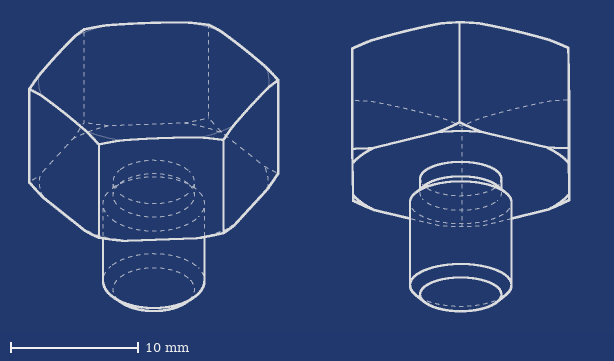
import cadquery as cq
import math

ACROSS_FLATS = 17.0
HEAD_HEIGHT = 10.0
HEAD_SIDES = 6
ACROSS_CORNERS = ACROSS_FLATS / math.cos(math.pi / HEAD_SIDES)

CROWN_RADIUS = 64.0
CROWN_RIM_RADIUS = 9.07
TOP_CHAMFER_ANGLE = 22.0
UNDERSIDE_FLAT_RADIUS = 9.0
UNDERSIDE_CHAMFER_ANGLE = 25.0

SHANK_LENGTH = 10.0
SHANK_DIAMETER = 8.0
NECK_DIAMETER = 6.4
NECK_LENGTH = 1.25
SHANK_CHAMFER = (SHANK_DIAMETER - NECK_DIAMETER) / 2

CORNER_CLEARANCE = 1.0
ENVELOPE_RADIUS = ACROSS_CORNERS / 2 + CORNER_CLEARANCE


def crown_height(radius):
    """Z of the spherical crown at a distance from the axis."""
    sagitta = CROWN_RADIUS - math.sqrt(CROWN_RADIUS**2 - radius**2)
    return HEAD_HEIGHT - sagitta


def cone_drop(inner_radius, angle):
    """Axial run of a chamfer cone from inner_radius out to the envelope."""
    return (ENVELOPE_RADIUS - inner_radius) * math.tan(math.radians(angle))


def make_head_envelope():
    """Turned body with the crown on top and a chamfer cone at each end."""
    rim_height = crown_height(CROWN_RIM_RADIUS)
    arc_middle_radius = CROWN_RIM_RADIUS / 2
    upper_edge = rim_height - cone_drop(CROWN_RIM_RADIUS, TOP_CHAMFER_ANGLE)
    lower_edge = cone_drop(UNDERSIDE_FLAT_RADIUS, UNDERSIDE_CHAMFER_ANGLE)
    return (
        cq.Workplane("YZ")
        .lineTo(UNDERSIDE_FLAT_RADIUS, 0)
        .lineTo(ENVELOPE_RADIUS, lower_edge)
        .lineTo(ENVELOPE_RADIUS, upper_edge)
        .lineTo(CROWN_RIM_RADIUS, rim_height)
        .threePointArc((arc_middle_radius, crown_height(arc_middle_radius)), (0, HEAD_HEIGHT))
        .close()
        .revolve(360, (0, 0), (0, 1))
    )


def make_head():
    """Hexagonal prism, corners on the Y axis, trimmed by the turned envelope."""
    prism = (
        cq.Workplane("XY")
        .transformed(rotate=(0, 0, 90))
        .polygon(HEAD_SIDES, ACROSS_CORNERS)
        .extrude(HEAD_HEIGHT)
    )
    return prism.intersect(make_head_envelope())


def make_shank():
    """Relieved neck, full-diameter shank and chamfered tip."""
    neck_radius = NECK_DIAMETER / 2
    shank_radius = SHANK_DIAMETER / 2
    return (
        cq.Workplane("YZ")
        .lineTo(neck_radius, 0)
        .lineTo(neck_radius, -NECK_LENGTH)
        .lineTo(shank_radius, -NECK_LENGTH - SHANK_CHAMFER)
        .lineTo(shank_radius, -SHANK_LENGTH + SHANK_CHAMFER)
        .lineTo(neck_radius, -SHANK_LENGTH)
        .lineTo(0, -SHANK_LENGTH)
        .close()
        .revolve(360, (0, 0), (0, 1))
    )


result = make_head().union(make_shank())